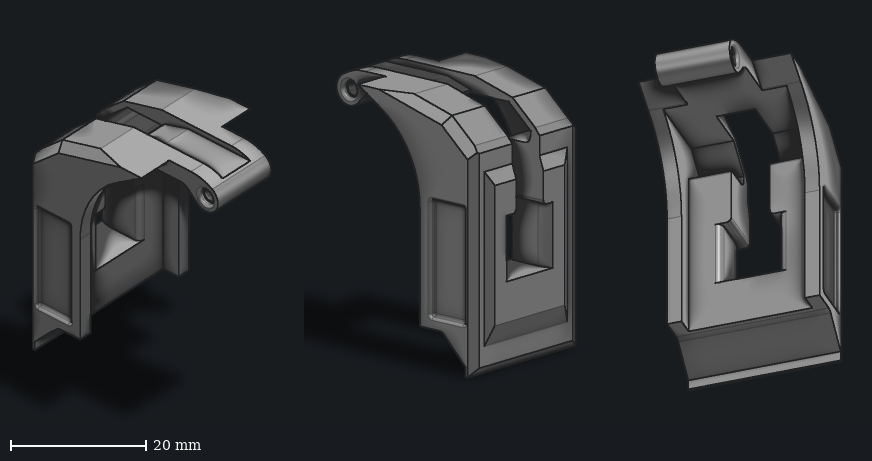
import cadquery as cq
import math

body_width = 24.0
half_width = body_width / 2
height = 41.0
plate_x = 0.78
rear_x = 11.05
rear_bottom_z = 6.15
body_end_x = 23.3

plate_bottom = (plate_x, 1.27)
plate_top = (plate_x, 34.15)
brow_bottom = (1.7, 35.25)
brow_top = (6.1, 39.02)
hood_start = (13.65, height)
toe_front_x = 1.65
toe_rear_x = 2.05
toe_height = 1.5
toe_fillet = 1.25

arch_radius = 16.27
arch_center = (rear_x + arch_radius, 24.3)
arch_end_angle = math.radians(120)

bevel_width = 1.6
plate_bevel_depth = 0.85
hood_bevel_depth = 1.4

pad_outer = (18.45, 4.43, 31.1)
pad_inner = (15.55, 7.4, 28.85)

arm_width = 11.75
arm_bottom_z = 38.25
arm_root_x = 16.4
arm_curve_start_x = 27.5
eye_center = (30.45, 37.65)
eye_radius = 2.5
arm_fillet = 2.1
pin_radius = 1.1
pin_seat_radius = 1.3
pin_seat_depth = 1.0
pin_rim_fillet = 0.5

slot_width = 6.05
window_width = 10.3
window_throat = 9.1
window_bottom_z = 13.6
window_top_z = 23.7
window_flare_depth = 2.45
window_exit_fillet = 1.0
slot_corner_fillet = 0.75
slot_overlap = 0.4
web_top_z = 40.05
web_start = (14.25, 38.7)
web_flat_x = 18.98
web_end_x = 31.75
block_rear_x = 8.0
block_top_z = 32.6
side_wall = 2.3
hood_wall = 1.45
cavity_front_x = 2.55
cavity_fillet = 1.3
block_edge_fillet = 0.35

recess_x = (2.17, 9.1)
recess_z = (7.95, 26.0)
recess_depth = 1.0
recess_fillet = 0.4
recess_corner = 0.45
pick_margin = 0.05

far = 2 * height


def prism(outline, width):
    """Extrude a closed XZ outline symmetrically about Y = 0."""
    return outline.close().extrude(width / 2, both=True)


def both_sides(half):
    """Join a shape with its mirror image about Y = 0."""
    return half.union(half.mirror("XZ"))


def fillet_cross_edge(solid, x, z, radius):
    """Round the edge parallel to Y that passes nearest to (x, z)."""
    nearest = cq.selectors.NearestToPointSelector((x, 0, z))
    return solid.edges("|Y").edges(nearest).fillet(radius)


def arch_point(angle):
    return (
        arch_center[0] + arch_radius * math.cos(angle),
        arch_center[1] + arch_radius * math.sin(angle),
    )


def body():
    toe_crease = (toe_rear_x + rear_bottom_z - toe_height, rear_bottom_z)
    solid = prism(
        cq.Workplane("XZ")
        .moveTo(toe_front_x, 0)
        .lineTo(*plate_bottom)
        .lineTo(*plate_top)
        .lineTo(*brow_bottom)
        .lineTo(*brow_top)
        .lineTo(*hood_start)
        .lineTo(body_end_x, height)
        .lineTo(*arch_point(arch_end_angle))
        .threePointArc(arch_point((math.pi + arch_end_angle) / 2), arch_point(math.pi))
        .lineTo(rear_x, rear_bottom_z)
        .lineTo(*toe_crease)
        .lineTo(toe_rear_x, toe_height)
        .lineTo(toe_rear_x, 0),
        body_width,
    )
    return fillet_cross_edge(solid, *toe_crease, toe_fillet)


def side_bevel(start, end, depth):
    """Wedges that bevel both ends of the front face running from start to end."""
    along = cq.Vector(end[0] - start[0], 0, end[1] - start[1]).normalized()
    outward = cq.Vector(-along.z, 0, along.x)
    plane = cq.Plane(origin=(start[0], 0, start[1]), xDir=outward, normal=along)
    inner_y = half_width - bevel_width
    wedge = (
        cq.Workplane(plane)
        .polyline([
            (depth, inner_y - bevel_width),
            (-depth, half_width),
            (-2 * depth, half_width + bevel_width),
            (depth, half_width + bevel_width),
        ])
        .close()
        .extrude(far / 2, both=True)
    )
    return both_sides(wedge)


def pad():
    """Raised pad whose four sides slope from the plate to the frontmost face."""
    base_width, base_bottom, base_top = pad_outer
    face_width, face_bottom, face_top = pad_inner
    base_mid = (base_bottom + base_top) / 2
    face_mid = (face_bottom + face_top) / 2
    return (
        cq.Workplane("YZ", origin=(plate_x, 0, base_mid))
        .rect(base_width, base_top - base_bottom)
        .workplane(offset=-plate_x)
        .center(0, face_mid - base_mid)
        .rect(face_width, face_top - face_bottom)
        .loft(combine=True)
    )


def arm():
    cx, cz = eye_center
    drop = height - cz
    run = cx - arm_curve_start_x
    crown_radius = (run**2 + drop**2 - eye_radius**2) / (2 * (drop - eye_radius))
    crown_center = (arm_curve_start_x, height - crown_radius)
    crown_angle = math.atan2(cz - crown_center[1], run)
    mid_angle = (crown_angle + math.pi / 2) / 2
    crown_mid = (
        crown_center[0] + crown_radius * math.cos(mid_angle),
        crown_center[1] + crown_radius * math.sin(mid_angle),
    )
    crown_end = (
        cx + eye_radius * math.cos(crown_angle),
        cz + eye_radius * math.sin(crown_angle),
    )
    diagonal = eye_radius * math.sqrt(0.5)
    neck = (cx - diagonal, cz - diagonal)
    crease_x = neck[0] - (arm_bottom_z - neck[1])
    solid = prism(
        cq.Workplane("XZ")
        .moveTo(arm_root_x, arm_bottom_z)
        .lineTo(arm_root_x, height)
        .lineTo(arm_curve_start_x, height)
        .threePointArc(crown_mid, crown_end)
        .threePointArc((cx + diagonal, cz - diagonal), neck)
        .lineTo(crease_x, arm_bottom_z),
        arm_width,
    )
    return fillet_cross_edge(solid, crease_x, arm_bottom_z, arm_fillet)


def pin_hole():
    """Through hole with a wider seat and a rounded mouth at each end."""
    end = arm_width / 2
    rim = pin_rim_fillet
    bulge = rim * (1 - math.sqrt(0.5))
    half = (
        cq.Workplane("XY", origin=(eye_center[0], 0, eye_center[1]))
        .lineTo(pin_radius, 0)
        .lineTo(pin_radius, end - pin_seat_depth)
        .lineTo(pin_seat_radius, end - pin_seat_depth)
        .lineTo(pin_seat_radius, end - rim)
        .threePointArc((pin_seat_radius + bulge, end - bulge), (pin_seat_radius + rim, end))
        .lineTo(0, end)
        .close()
        .revolve(360, (0, 0), (0, 1))
    )
    return both_sides(half)


def cavity():
    """Hollow behind the front block, open to the rear and below."""
    slope = (brow_top[1] - brow_bottom[1]) / (brow_top[0] - brow_bottom[0])
    front_z = brow_bottom[1] - hood_wall + slope * (cavity_front_x - brow_bottom[0])
    ceiling_x = cavity_front_x + (arm_bottom_z - front_z) / slope
    solid = prism(
        cq.Workplane("XZ").polyline([
            (block_rear_x, -height),
            (block_rear_x, block_top_z),
            (cavity_front_x, block_top_z),
            (cavity_front_x, front_z),
            (ceiling_x, arm_bottom_z),
            (far, arm_bottom_z),
            (far, -height),
        ]),
        body_width - 2 * side_wall,
    )
    solid = fillet_cross_edge(solid, cavity_front_x, block_top_z, cavity_fillet)
    return fillet_cross_edge(solid, block_rear_x, block_top_z, block_edge_fillet)


def slot():
    """Slot through the hood, stepping over the web that joins the arm halves."""
    return prism(
        cq.Workplane("XZ").polyline([
            (-height, window_top_z - slot_overlap),
            (web_start[0], window_top_z - slot_overlap),
            web_start,
            (web_flat_x, web_top_z),
            (web_end_x, web_top_z),
            (web_end_x, far),
            (-height, far),
        ]),
        slot_width,
    )


def window():
    """Window through the block with jambs flared at the front and rounded at the rear."""
    outer = window_width / 2
    throat = window_throat / 2
    inset = outer - throat
    radius = (window_flare_depth**2 + inset**2) / (2 * inset)
    mid_angle = math.asin(window_flare_depth / radius) / 2
    mid = (
        window_flare_depth - radius * math.sin(mid_angle),
        throat + radius * (1 - math.cos(mid_angle)),
    )
    exit_inset = window_exit_fillet * (1 - math.sqrt(0.5))
    half = (
        cq.Workplane("XY", origin=(0, 0, window_bottom_z))
        .moveTo(0, 0)
        .lineTo(0, outer)
        .threePointArc(mid, (window_flare_depth, throat))
        .lineTo(block_rear_x - window_exit_fillet, throat)
        .threePointArc(
            (block_rear_x - exit_inset, throat + exit_inset),
            (block_rear_x, throat + window_exit_fillet),
        )
        .lineTo(block_rear_x, 0)
        .close()
        .extrude(window_top_z - window_bottom_z)
    )
    return both_sides(half)


def slot_corners():
    """Rounds where the slot opens into the window."""
    r = slot_corner_fillet
    edge = slot_width / 2
    inset = r * (1 - math.sqrt(0.5))
    half = (
        cq.Workplane("YZ")
        .moveTo(edge, window_top_z)
        .lineTo(edge, window_top_z + r)
        .threePointArc((edge + inset, window_top_z + inset), (edge + r, window_top_z))
        .close()
        .extrude(rear_x)
    )
    return both_sides(half)


def side_recess():
    """Shallow recess with a rounded floor edge."""
    x0, x1 = recess_x
    z0, z1 = recess_z
    return (
        cq.Workplane("XZ", origin=((x0 + x1) / 2, -half_width, (z0 + z1) / 2))
        .rect(x1 - x0, z1 - z0)
        .extrude(-recess_depth)
        .edges("|Y")
        .fillet(recess_corner)
        .faces(">Y")
        .edges()
        .fillet(recess_fillet)
    )


def round_recess_rim(solid, side_y):
    x0, x1 = recess_x
    z0, z1 = recess_z
    rim = cq.selectors.BoxSelector(
        (x0 - pick_margin, side_y - pick_margin, z0 - pick_margin),
        (x1 + pick_margin, side_y + pick_margin, z1 + pick_margin),
    )
    return solid.edges(rim).fillet(recess_fillet)


shell = body()
for start, end, depth in (
    (plate_bottom, plate_top, plate_bevel_depth),
    (brow_bottom, brow_top, hood_bevel_depth),
    (brow_top, hood_start, hood_bevel_depth),
):
    shell = shell.cut(side_bevel(start, end, depth))
shell = shell.union(pad()).cut(cavity()).union(arm())

result = shell.cut(slot()).cut(window()).cut(slot_corners()).cut(pin_hole())
result = result.cut(both_sides(side_recess()))
for side_y in (-half_width, half_width):
    result = round_recess_rim(result, side_y)